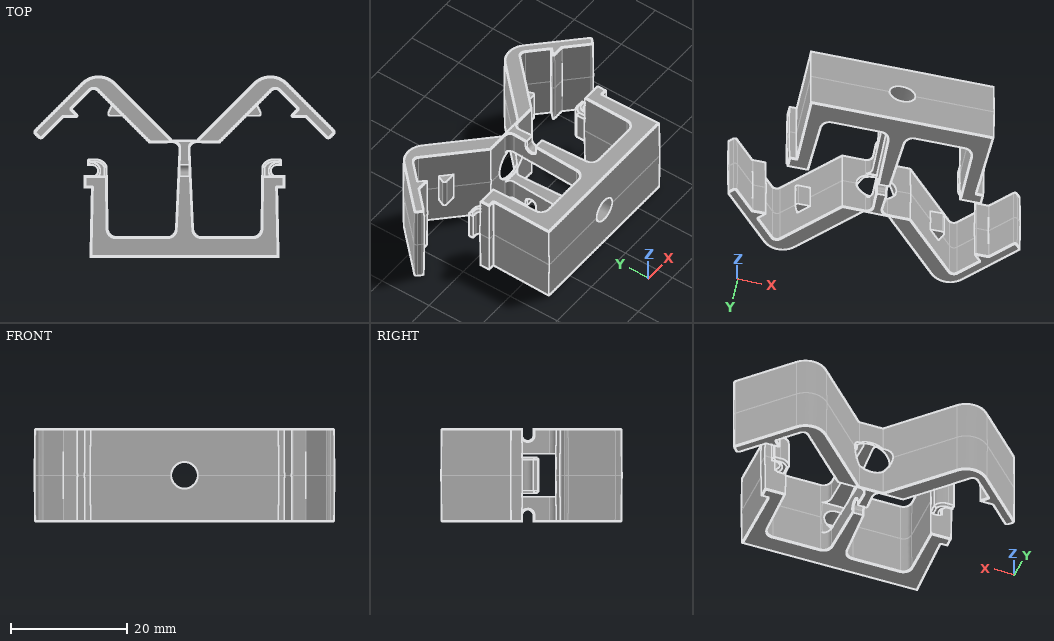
import cadquery as cq
import math

HEIGHT = 16.0
DRAFT_ANGLE = 0.6
EDGE_CHAMFER = 0.15

BASE_HALF_WIDTH = 16.25
WALL_HALF_WIDTH = 16.0
FLOOR_Y = 3.5
POCKET_RADIUS = 1.45
POCKET_OUTER_X = 13.2
POCKET_OPENING_X = 13.35
WALL_TOP_Y = 14.0
LUG_HALF_WIDTH = 17.25
LUG_THICKNESS = 2.0

WEB_HALF_FOOT = 1.6
WEB_HALF_NECK = 0.9
WEB_FILLET = 1.05
BRIDGE_Y = 19.75
BRIDGE_THICKNESS = 0.45
BRIDGE_HALF_WIDTH = 6.05
BRIDGE_TOP_HALF_WIDTH = 2.15

HALF_LENGTH = 25.85
THIN_LEG = 1.85
APEX_OUTER_RADIUS = 4.0
APEX_INNER_RADIUS = 0.9
OUTER_APEX_X = 14.8
TIP_RADIUS = 0.5

RIDGE_BASE_Y = 24.15
RIDGE_REACH = 2.8
RIDGE_RADIUS = 0.25

TOOTH_HALF_HEIGHT = 2.85
TOOTH_BASE_Y = 24.35
TOOTH_TIP_X = 13.4
TOOTH_TOP_X = 12.5
TOOTH_RADIUS = 0.4
TOOTH_SINK = 0.5

HOOK_HALF_HEIGHT = 3.1
HOOK_TOP_Y = 16.85
HOOK_TIP_X = 16.65
HOOK_GAP_RADIUS = 1.0
HOOK_GAP_X = 15.9
HOOK_GAP_Y = 14.9
HOOK_BEND_X = 15.5
HOOK_SHOULDER = (14.05, 16.5)
HOOK_BACK_X = 13.4
HOOK_BACK_Y = 15.6
HOOK_CHAMFER = 0.4
HOOK_TIP_BEVEL = 0.15
HOOK_ROOT = 0.6

SCREW_HOLE_DIAMETER = 4.55
DRIVER_HOLE_DIAMETER = 7.05
WINDOW_HALF_HEIGHT = 3.65
NOTCH_Y = 14.95
NOTCH_RADIUS = 1.0
NOTCH_CHAMFER = 0.2
NOTCH_DEPTH = 2.05
NOTCH_EDGE_MARGIN = 0.1

outer_apex_y = BRIDGE_Y + BRIDGE_THICKNESS + OUTER_APEX_X - BRIDGE_TOP_HALF_WIDTH
thin_outer_sum = OUTER_APEX_X + outer_apex_y
thin_inner_sum = thin_outer_sum - THIN_LEG * math.sqrt(2)
thick_inner_diff = BRIDGE_HALF_WIDTH - BRIDGE_Y
tip_corner_x = HALF_LENGTH + TIP_RADIUS * (math.sqrt(2) - 1)
tip_diff = 2 * tip_corner_x - thin_outer_sum
ridge_foot_x = thin_inner_sum - RIDGE_BASE_Y
ridge_tip_x = ridge_foot_x - RIDGE_REACH
ridge_diff = ridge_tip_x - RIDGE_BASE_Y


def slant_crossing(x_plus_y, x_minus_y):
    """Point where two perpendicular 45 degree lines meet."""
    return ((x_plus_y + x_minus_y) / 2, (x_plus_y - x_minus_y) / 2)


def rounded_outline(corners):
    """Closed outline through (x, y, radius) corners; radius 0 keeps a corner sharp."""
    path = []
    for i, (x, y, radius) in enumerate(corners):
        before = corners[i - 1]
        after = corners[(i + 1) % len(corners)]
        corner = cq.Vector(x, y)
        if radius == 0:
            path.append([corner])
            continue
        to_before = (cq.Vector(*before[:2]) - corner).normalized()
        to_after = (cq.Vector(*after[:2]) - corner).normalized()
        half_angle = to_before.getAngle(to_after) / 2
        tangent_length = radius / math.tan(half_angle)
        middle = (to_before + to_after).normalized() * (radius / math.sin(half_angle) - radius)
        path.append([corner + to_before * tangent_length, corner + middle, corner + to_after * tangent_length])
    outline = cq.Workplane("XY").moveTo(*path[0][0].toTuple()[:2])
    for i, stretch in enumerate(path):
        if i > 0:
            outline = outline.lineTo(*stretch[0].toTuple()[:2])
        if len(stretch) == 3:
            outline = outline.threePointArc(stretch[1].toTuple()[:2], stretch[2].toTuple()[:2])
    return outline.close()


def bevelled_slab(outline, half_height, bevel, draft=0):
    """Slab centred on z = 0, drafted away from it, with a 45 degree bevel around both flat ends."""
    upper = outline.extrude(half_height - bevel, taper=draft)
    rim = upper.faces(">Z").wires().toPending().extrude(bevel, combine=False, taper=45)
    upper = upper.union(rim)
    return upper.union(upper.mirror("XY"))


def mirrored_solid(half):
    """Half on the +X side joined to its mirror image."""
    return half.union(half.mirror("YZ"))


def body_half():
    """Channel, web, bridge and cover arm on the +X side, drafted and chamfered towards +Z and -Z."""
    overrun_x = -0.5
    outline = rounded_outline([
        (overrun_x, 0, 0),
        (BASE_HALF_WIDTH, 0, 0),
        (WALL_HALF_WIDTH, WALL_TOP_Y - LUG_THICKNESS, 0),
        (LUG_HALF_WIDTH, WALL_TOP_Y - LUG_THICKNESS, 0),
        (LUG_HALF_WIDTH, WALL_TOP_Y, 0),
        (POCKET_OPENING_X, WALL_TOP_Y, 0),
        (POCKET_OUTER_X, FLOOR_Y, POCKET_RADIUS),
        (WEB_HALF_FOOT, FLOOR_Y, POCKET_RADIUS),
        (WEB_HALF_NECK, BRIDGE_Y, WEB_FILLET),
        (BRIDGE_HALF_WIDTH, BRIDGE_Y, 0),
        (*slant_crossing(thin_inner_sum, thick_inner_diff), APEX_INNER_RADIUS),
        (*slant_crossing(thin_inner_sum, ridge_diff), 0),
        (ridge_tip_x, RIDGE_BASE_Y, RIDGE_RADIUS),
        (ridge_foot_x, RIDGE_BASE_Y, 0),
        (*slant_crossing(thin_inner_sum, tip_diff), TIP_RADIUS),
        (*slant_crossing(thin_outer_sum, tip_diff), TIP_RADIUS),
        (OUTER_APEX_X, outer_apex_y, APEX_OUTER_RADIUS),
        (BRIDGE_TOP_HALF_WIDTH, BRIDGE_Y + BRIDGE_THICKNESS, 0),
        (overrun_x, BRIDGE_Y + BRIDGE_THICKNESS, 0),
    ])
    slab = bevelled_slab(outline, HEIGHT / 2, EDGE_CHAMFER, DRAFT_ANGLE)
    positive_x = cq.Workplane("XY").box(
        2 * HALF_LENGTH, 4 * HALF_LENGTH, 2 * HEIGHT, centered=(False, True, True)
    )
    return slab.intersect(positive_x)


def tooth():
    """Short wedge on the inner face of the thick leg."""
    root_x = TOOTH_BASE_Y + thick_inner_diff
    outline = rounded_outline([
        (root_x, TOOTH_BASE_Y, 0),
        (TOOTH_TIP_X, TOOTH_BASE_Y, TOOTH_RADIUS),
        (TOOTH_TOP_X, TOOTH_TOP_X - thick_inner_diff, 0),
        (TOOTH_TOP_X - TOOTH_SINK, TOOTH_TOP_X - thick_inner_diff, 0),
        (root_x - TOOTH_SINK, TOOTH_BASE_Y, 0),
    ])
    return outline.extrude(TOOTH_HALF_HEIGHT, both=True)


def hook():
    """Hook on the wall top, curling outwards over a round gap."""
    gap_top_y = HOOK_GAP_Y + HOOK_GAP_RADIUS
    gap_foot_x = HOOK_GAP_X - math.sqrt(HOOK_GAP_RADIUS**2 - (HOOK_GAP_Y - WALL_TOP_Y)**2)
    outline = (
        cq.Workplane("XY")
        .moveTo(gap_foot_x, WALL_TOP_Y - HOOK_ROOT)
        .lineTo(gap_foot_x, WALL_TOP_Y)
        .threePointArc((HOOK_GAP_X - HOOK_GAP_RADIUS, HOOK_GAP_Y), (HOOK_GAP_X, gap_top_y))
        .lineTo(HOOK_TIP_X, gap_top_y)
        .lineTo(HOOK_TIP_X, HOOK_TOP_Y)
        .lineTo(HOOK_BEND_X, HOOK_TOP_Y)
        .threePointArc(HOOK_SHOULDER, (HOOK_BACK_X, HOOK_BACK_Y))
        .lineTo(HOOK_BACK_X, WALL_TOP_Y - HOOK_ROOT)
        .close()
    )
    bar = bevelled_slab(outline, HOOK_HALF_HEIGHT, HOOK_CHAMFER)
    return bar.faces(">X").edges(">Y").chamfer(HOOK_TIP_BEVEL)


def hole_along_y(diameter, start_y, end_y):
    """Cutter for a round hole centred on x = z = 0."""
    return cq.Workplane("XZ", origin=(0, start_y, 0)).circle(diameter / 2).extrude(start_y - end_y)


def openings():
    """Screw hole, wider driver hole, window through the web and the notches in its ends."""
    far_y = BRIDGE_Y + HALF_LENGTH
    web_width = 2 * (WEB_HALF_FOOT + POCKET_RADIUS)
    cutter = hole_along_y(SCREW_HOLE_DIAMETER, 0, BRIDGE_Y)
    cutter = cutter.union(hole_along_y(DRIVER_HOLE_DIAMETER, BRIDGE_Y, far_y))
    window = cq.Workplane("XY").box(web_width, BRIDGE_Y - FLOOR_Y, 2 * WINDOW_HALF_HEIGHT)
    cutter = cutter.union(window.translate((0, (BRIDGE_Y + FLOOR_Y) / 2, 0)))
    for side in (1, -1):
        round_z = side * (HEIGHT / 2 - NOTCH_DEPTH + NOTCH_RADIUS)
        notch = (
            cq.Workplane("YZ", origin=(-web_width / 2, NOTCH_Y, round_z))
            .circle(NOTCH_RADIUS).extrude(web_width)
        )
        mouth = cq.Workplane("XY").box(web_width, 2 * NOTCH_RADIUS, NOTCH_DEPTH)
        mouth = mouth.translate((0, NOTCH_Y, round_z + side * NOTCH_DEPTH / 2))
        cutter = cutter.union(notch).union(mouth)
    return cutter


def chamfer_notches(body):
    """Break the notch edges on both faces of the web."""
    half_size = NOTCH_RADIUS + NOTCH_CHAMFER
    bottom_z = HEIGHT / 2 - NOTCH_DEPTH - NOTCH_CHAMFER
    top_z = HEIGHT / 2 - EDGE_CHAMFER - NOTCH_EDGE_MARGIN
    for side in (1, -1):
        for end in (1, -1):
            edges_of_one_face = cq.selectors.BoxSelector(
                (side * WEB_HALF_NECK / 2, NOTCH_Y - half_size, end * bottom_z),
                (side * 2 * WEB_HALF_FOOT, NOTCH_Y + half_size, end * top_z),
            )
            body = body.edges(edges_of_one_face).chamfer(NOTCH_CHAMFER)
    return body


body = mirrored_solid(body_half()).cut(openings())
body = chamfer_notches(body)
result = body.union(mirrored_solid(tooth().union(hook())))